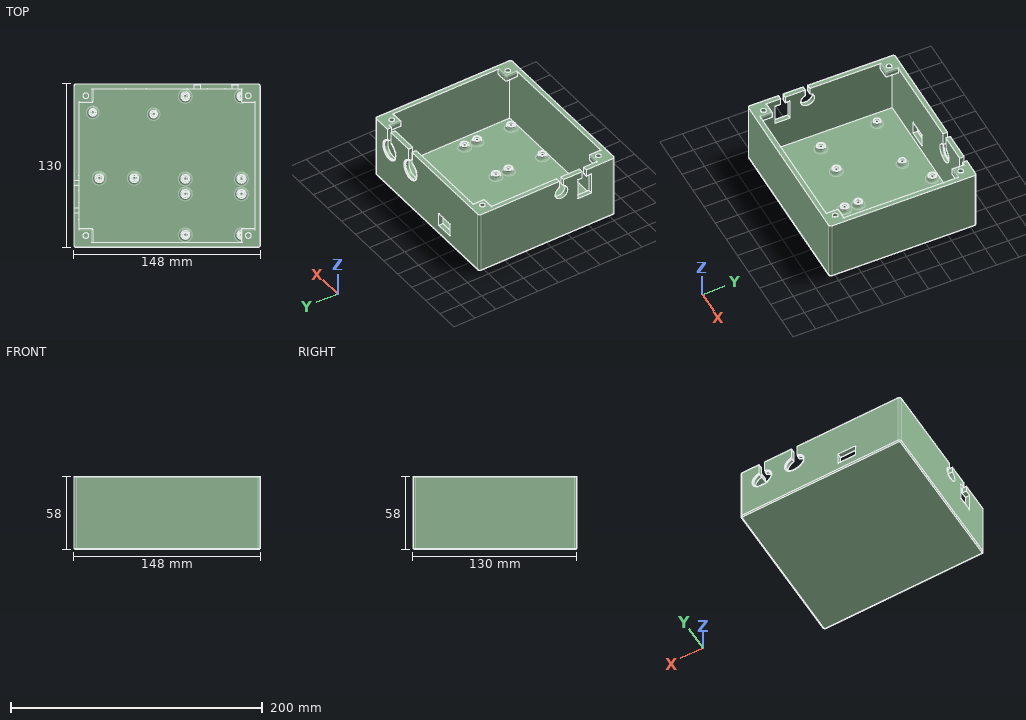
import cadquery as cq
import math

LENGTH = 148.0
WIDTH = 130.0
HEIGHT = 58.0
WALL = 4.0
FLOOR = 3.0
CORNER_RADIUS = 2.0
BOTTOM_CHAMFER = 1.0

HALF_LENGTH = LENGTH / 2
HALF_WIDTH = WIDTH / 2
INNER_LENGTH = LENGTH - 2 * WALL
INNER_WIDTH = WIDTH - 2 * WALL

TAB_REACH = 15.0
TAB_HEIGHT = 5.0
TAB_EDGE = 1.0
SCREW_INSET = 9.5
SCREW_DIAMETER = 4.5
SCREW_DEPTH = 4.0

STANDOFF_HEIGHT = 4.0
STANDOFF_FILLET = 2.0
PILOT_DIAMETER = 3.0
PILOT_DEPTH = STANDOFF_HEIGHT
PILOT_CHAMFER = 1.0
DRILL_POINT_ANGLE = 118.0
SMALL_STANDOFF_DIAMETER = 6.0
LARGE_STANDOFF_DIAMETER = 7.0

SMALL_STANDOFFS = [(-59.0, 42.2), (-10.7, 40.9)]
CONTROLLER_STANDOFFS = [(-53.9, -10.0), (-26.0, -10.0)]
RELAY_COLUMNS = [14.5, 59.0]
RELAY_ROWS = [55.0, -10.5, -22.5, -55.0]
RELAY_STANDOFFS = [(x, y) for x in RELAY_COLUMNS for y in RELAY_ROWS]
LARGE_STANDOFFS = CONTROLLER_STANDOFFS + RELAY_STANDOFFS

REAR_CABLE_POSITIONS = [24.0, 54.0]
REAR_CABLE_DIAMETER = 16.0
REAR_CABLE_HEIGHT = 38.0
REAR_SLOT_WIDTH = 5.0
REAR_RECESS_DIAMETER = 18.0
REAR_RECESS_DEPTH = 1.0

WINDOW_RIGHT = -16.5
WINDOW_LENGTH = 16.0
WINDOW_BOTTOM = 9.0
WINDOW_TOP = 21.0

LEFT_SLOT_WIDTH = 4.0
LEFT_CABLE_POSITION = -13.8
LEFT_CABLE_DIAMETER = 12.0
LEFT_CABLE_HEIGHT = 46.0
CONNECTOR_POSITION = -36.0
CONNECTOR_SLOT_POSITION = -35.6
CONNECTOR_WIDTH = 13.2
CONNECTOR_TOP = 51.5
CONNECTOR_HEIGHT = 19.3


def box_between(low, high):
    """Axis-aligned box from its lowest to its highest corner."""
    sizes = [b - a for a, b in zip(low, high)]
    return cq.Workplane("XY").box(*sizes, centered=False).translate(low)


def make_case():
    """Open-topped box with rounded corners and a chamfered bottom edge."""
    outer = cq.Workplane("XY").box(LENGTH, WIDTH, HEIGHT, centered=(True, True, False))
    outer = outer.edges("|Z").fillet(CORNER_RADIUS)
    outer = outer.faces("<Z").edges().chamfer(BOTTOM_CHAMFER)
    cavity = cq.Workplane("XY").workplane(offset=FLOOR).rect(INNER_LENGTH, INNER_WIDTH).extrude(HEIGHT)
    return outer.cut(cavity)


def make_tab(x_side, y_side):
    """Screw tab of the corner on the given sides, overlapping half the wall thickness."""
    size = TAB_REACH - WALL / 2
    center = (size + WALL) / 2
    tab = cq.Workplane("XY").box(size, size, TAB_HEIGHT)
    inner_x = "<X" if x_side > 0 else ">X"
    inner_y = "<Y" if y_side > 0 else ">Y"
    top_edges = tab.faces(">Z").edges(f"{inner_x} or {inner_y}")
    corner_edge = tab.edges("|Z").edges(inner_x).edges(inner_y)
    tab = top_edges.add(corner_edge).fillet(TAB_EDGE)
    return tab.translate((
        x_side * (HALF_LENGTH - center),
        y_side * (HALF_WIDTH - center),
        HEIGHT - TAB_HEIGHT / 2,
    ))


def add_tabs(body):
    """Add the four screw tabs and drill their holes."""
    for x_side in (-1, 1):
        for y_side in (-1, 1):
            body = body.union(make_tab(x_side, y_side))
    screws = (
        cq.Workplane("XY")
        .workplane(offset=HEIGHT - SCREW_DEPTH)
        .rect(LENGTH - 2 * SCREW_INSET, WIDTH - 2 * SCREW_INSET, forConstruction=True)
        .vertices()
        .circle(SCREW_DIAMETER / 2)
        .extrude(SCREW_DEPTH)
    )
    return body.cut(screws)


def make_standoff(diameter):
    """Round post with a flared foot, standing on z = 0."""
    radius = diameter / 2
    arc_inset = STANDOFF_FILLET * (1 - math.sqrt(0.5))
    profile = (
        cq.Workplane("XZ")
        .lineTo(radius + STANDOFF_FILLET, 0)
        .threePointArc((radius + arc_inset, arc_inset), (radius, STANDOFF_FILLET))
        .lineTo(radius, STANDOFF_HEIGHT)
        .lineTo(0, STANDOFF_HEIGHT)
        .close()
    )
    return profile.revolve(360, (0, 0, 0), (0, 1, 0))


def make_pilot_hole():
    """Chamfered, drill-pointed hole for a standoff standing on z = 0."""
    radius = PILOT_DIAMETER / 2
    bottom = STANDOFF_HEIGHT - PILOT_DEPTH
    point_length = radius / math.tan(math.radians(DRILL_POINT_ANGLE / 2))
    profile = (
        cq.Workplane("XZ")
        .moveTo(0, bottom - point_length)
        .lineTo(radius, bottom)
        .lineTo(radius, STANDOFF_HEIGHT - PILOT_CHAMFER)
        .lineTo(radius + PILOT_CHAMFER, STANDOFF_HEIGHT)
        .lineTo(0, STANDOFF_HEIGHT)
        .close()
    )
    return profile.revolve(360, (0, 0, 0), (0, 1, 0))


def add_standoffs(body, diameter, positions):
    """Add standoffs of one diameter to the floor and drill them."""
    standoff = make_standoff(diameter)
    pilot_hole = make_pilot_hole()
    for x, y in positions:
        place = (x, y, FLOOR)
        body = body.union(standoff.translate(place)).cut(pilot_hole.translate(place))
    return body


def rear_wall_box(left, right, bottom, top):
    """Box spanning the thickness of the rear wall."""
    return box_between((left, HALF_WIDTH - WALL, bottom), (right, HALF_WIDTH, top))


def rear_wall_hole(x_center, diameter, depth):
    """Cylinder sunk from the outer face of the rear wall at cable height."""
    start = cq.Workplane("XZ", origin=(x_center, HALF_WIDTH, REAR_CABLE_HEIGHT))
    return start.circle(diameter / 2).extrude(depth)


def cut_rear_openings(body):
    """Cut the two recessed cable keyholes and the window through the rear wall."""
    for x in REAR_CABLE_POSITIONS:
        hole = rear_wall_hole(x, REAR_CABLE_DIAMETER, WALL)
        recess = rear_wall_hole(x, REAR_RECESS_DIAMETER, REAR_RECESS_DEPTH)
        half_slot = REAR_SLOT_WIDTH / 2
        slot = rear_wall_box(x - half_slot, x + half_slot, REAR_CABLE_HEIGHT, HEIGHT)
        body = body.cut(hole).cut(recess).cut(slot)
    window = rear_wall_box(WINDOW_RIGHT - WINDOW_LENGTH, WINDOW_RIGHT, WINDOW_BOTTOM, WINDOW_TOP)
    return body.cut(window)


def left_wall_box(y_center, width, bottom, top):
    """Box spanning the thickness of the left wall."""
    return box_between(
        (-HALF_LENGTH, y_center - width / 2, bottom),
        (-HALF_LENGTH + WALL, y_center + width / 2, top),
    )


def cut_left_openings(body):
    """Cut the cable keyhole and the slotted connector window through the left wall."""
    hole = (
        cq.Workplane("YZ", origin=(-HALF_LENGTH, LEFT_CABLE_POSITION, LEFT_CABLE_HEIGHT))
        .circle(LEFT_CABLE_DIAMETER / 2)
        .extrude(WALL)
    )
    cable_slot = left_wall_box(LEFT_CABLE_POSITION, LEFT_SLOT_WIDTH, LEFT_CABLE_HEIGHT, HEIGHT)
    connector_bottom = CONNECTOR_TOP - CONNECTOR_HEIGHT
    connector = left_wall_box(CONNECTOR_POSITION, CONNECTOR_WIDTH, connector_bottom, CONNECTOR_TOP)
    connector_slot = left_wall_box(CONNECTOR_SLOT_POSITION, LEFT_SLOT_WIDTH, CONNECTOR_TOP, HEIGHT)
    return body.cut(hole).cut(cable_slot).cut(connector).cut(connector_slot)


result = make_case()
result = add_tabs(result)
result = add_standoffs(result, SMALL_STANDOFF_DIAMETER, SMALL_STANDOFFS)
result = add_standoffs(result, LARGE_STANDOFF_DIAMETER, LARGE_STANDOFFS)
result = cut_rear_openings(result)
result = cut_left_openings(result)